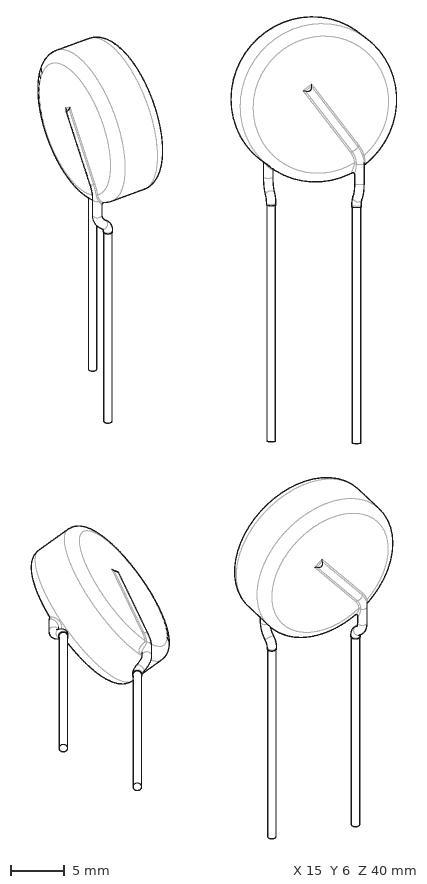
import cadquery as cq
import math

disc_diameter = 15.0
disc_thickness = 5.5
rim_radius = 1.0

total_height = 40.0
total_depth = 6.0
lead_pitch = 7.5
lead_diameter = 0.8
coated_diameter = 0.9
lead_row_spacing = 2.8
lead_x = lead_pitch / 2
lead_offset = lead_row_spacing / 2
coated_offset = (total_depth - coated_diameter) / 2
lead_bottom_z = disc_diameter / 2 - total_height

slant_angle = 53.0
slant_start_z = -5.8
slant_bend_radius = 2.4
slant_length = 7.5
tip_bevel_angle = 45.0

jog_start_z = -7.7
jog_overlap = 1.0
jog_upper_radius = 1.8
jog_lower_radius = 1.0
coating_end_z = -10.1

blend_radius = 0.2
skin_tolerance = 1e-4


def make_disc():
    back_face = cq.Workplane("XZ", origin=(0, disc_thickness / 2, 0))
    disc = back_face.circle(disc_diameter / 2).extrude(disc_thickness)
    return disc.edges().fillet(rim_radius)


def sweep_wire(path, start, along):
    """Sweep the coated wire's round section along a path."""
    section = cq.Workplane(cq.Plane(origin=start, normal=along)).circle(coated_diameter / 2)
    return section.sweep(path)


def make_face_wire():
    """Straight rise from below the disc, then a bend and a slanted run across the front face."""
    plane = cq.Plane(origin=(0, -coated_offset, 0), xDir=(1, 0, 0), normal=(0, -1, 0))
    turn = math.radians(90 - slant_angle)
    bend_end_x = lead_x - slant_bend_radius * (1 - math.cos(turn))
    bend_end_z = slant_start_z + slant_bend_radius * math.sin(turn)
    tip_x = bend_end_x - slant_length * math.sin(turn)
    tip_z = bend_end_z + slant_length * math.cos(turn)
    path = (
        cq.Workplane(plane)
        .moveTo(lead_x, jog_start_z)
        .lineTo(lead_x, slant_start_z)
        .tangentArcPoint((bend_end_x, bend_end_z), relative=False)
        .lineTo(tip_x, tip_z)
    )
    wire = sweep_wire(path, (lead_x, -coated_offset, jog_start_z), (0, 0, 1))

    bevel = math.radians(tip_bevel_angle)
    bevel_normal = (-math.sin(turn) * math.sin(bevel), -math.cos(bevel), math.cos(turn) * math.sin(bevel))
    bevel_plane = cq.Plane(origin=(tip_x, -disc_thickness / 2, tip_z), normal=bevel_normal)
    bevel_cutter = cq.Workplane(bevel_plane).circle(coated_diameter).extrude(coated_diameter)
    return wire.cut(bevel_cutter)


def make_jog():
    """S-bend that brings the coated wire in from the disc face to the lead row."""
    plane = cq.Plane(origin=(lead_x, 0, 0), xDir=(0, 1, 0), normal=(1, 0, 0))
    inward_shift = coated_offset - lead_offset
    turn = math.acos(1 - inward_shift / (jog_upper_radius + jog_lower_radius))
    middle_y = -coated_offset + jog_upper_radius * (1 - math.cos(turn))
    middle_z = jog_start_z - jog_upper_radius * math.sin(turn)
    jog_end_z = middle_z - jog_lower_radius * math.sin(turn)
    path = (
        cq.Workplane(plane)
        .moveTo(-coated_offset, jog_start_z + jog_overlap)
        .lineTo(-coated_offset, jog_start_z)
        .tangentArcPoint((middle_y, middle_z), relative=False)
        .tangentArcPoint((-lead_offset, jog_end_z), relative=False)
        .lineTo(-lead_offset, coating_end_z)
    )
    return sweep_wire(path, (lead_x, -coated_offset, jog_start_z + jog_overlap), (0, 0, -1))


def make_lead():
    lead = cq.Workplane("XY", origin=(lead_x, -lead_offset, lead_bottom_z)).circle(lead_diameter / 2)
    return lead.extrude(coating_end_z - lead_bottom_z)


def half_turn(shape):
    return shape.rotate((0, 0, 0), (0, 0, 1), 180)


def touches_skin(solid, point):
    return solid.val().Shells()[0].distance(cq.Vertex.makeVertex(*point.toTuple())) < skin_tolerance


def add_blended_wire(body, wire):
    """Join a face wire to the body and fillet every edge where their surfaces meet."""
    joined = body.union(wire)
    seams = []
    for edge in joined.edges().vals():
        middle = edge.positionAt(0.5)
        if touches_skin(body, middle) and touches_skin(wire, middle):
            seams.append(edge)
    return joined.newObject(seams).fillet(blend_radius)


face_wire = make_face_wire()
lower_lead = make_jog().union(make_lead())

result = make_disc()
for wire in (face_wire, half_turn(face_wire)):
    result = add_blended_wire(result, wire)
result = result.union(lower_lead).union(half_turn(lower_lead))